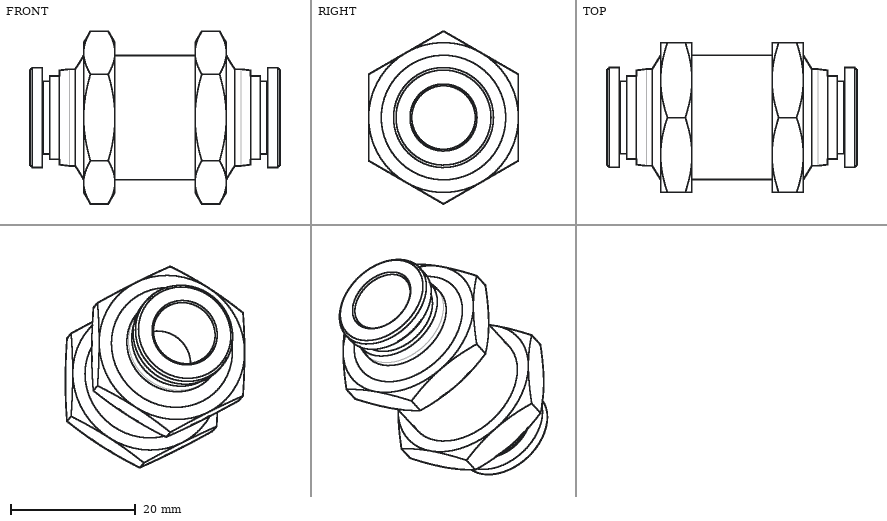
import cadquery as cq
import math

length = 40.1
half_length = length / 2

flange_radius = 8.0
flange_width = 2.0
flange_chamfer = 0.4
gap_radius = 5.57
gap_width = 0.12
neck_radius = 5.85
neck_end = 3.15
shoulder_radius = 6.7
shoulder_end = 4.75

collar_front_radius = 7.58
collar_radius = 7.78
collar_taper_end = 6.3
collar_end = 7.25

barrel_radius = 10.0
nut_start = 8.62

nut_width = 5.0
nut_across_flats = 24.0
nut_corner_radius = nut_across_flats / math.sqrt(3)
nut_face_radius = nut_across_flats / 2
nut_chamfer_angle = 30.0

bore_radius = 5.1
bore_mouth_radius = 5.37
bore_chamfer_depth = 0.3
bore_depth = 16.85


def revolve_about_x(profile):
    return profile.close().revolve(360, (0, 0, 0), (1, 0, 0))


def make_half_body():
    """Left half of the turned body, from the end face to the middle plane."""
    end = -half_length
    gap_start = end + flange_width
    profile = (
        cq.Workplane("XY")
        .moveTo(end, 0)
        .lineTo(end, flange_radius - flange_chamfer)
        .lineTo(end + flange_chamfer, flange_radius)
        .lineTo(gap_start, flange_radius)
        .lineTo(gap_start, gap_radius)
        .lineTo(gap_start + gap_width, gap_radius)
        .lineTo(gap_start + gap_width, neck_radius)
        .lineTo(end + neck_end, neck_radius)
        .lineTo(end + neck_end, shoulder_radius)
        .lineTo(end + shoulder_end, shoulder_radius)
        .lineTo(end + shoulder_end, collar_front_radius)
        .lineTo(end + collar_taper_end, collar_radius)
        .lineTo(end + collar_end, collar_radius)
        .lineTo(end + nut_start, barrel_radius)
        .lineTo(0, barrel_radius)
        .lineTo(0, 0)
    )
    return revolve_about_x(profile)


def make_nut():
    """Left nut: a hexagon with corners on +Z and -Z, chamfered on both faces."""
    start = -half_length + nut_start
    end = start + nut_width
    hexagon = (
        cq.Workplane("YZ", origin=(start, 0, 0))
        .transformed(rotate=(0, 0, 90))
        .polygon(6, 2 * nut_corner_radius)
        .extrude(nut_width)
    )
    chamfer_width = (nut_corner_radius - nut_face_radius) * math.tan(math.radians(nut_chamfer_angle))
    envelope = revolve_about_x(
        cq.Workplane("XY")
        .moveTo(start, 0)
        .lineTo(start, nut_face_radius)
        .lineTo(start + chamfer_width, nut_corner_radius)
        .lineTo(end - chamfer_width, nut_corner_radius)
        .lineTo(end, nut_face_radius)
        .lineTo(end, 0)
    )
    return hexagon.intersect(envelope)


def make_socket():
    """Blind tube socket in the left end, with a chamfered mouth."""
    end = -half_length
    return revolve_about_x(
        cq.Workplane("XY")
        .moveTo(end, 0)
        .lineTo(end, bore_mouth_radius)
        .lineTo(end + bore_chamfer_depth, bore_radius)
        .lineTo(end + bore_depth, bore_radius)
        .lineTo(end + bore_depth, 0)
    )


left_half = make_half_body().union(make_nut()).cut(make_socket())
result = left_half.union(left_half.mirror("YZ"))